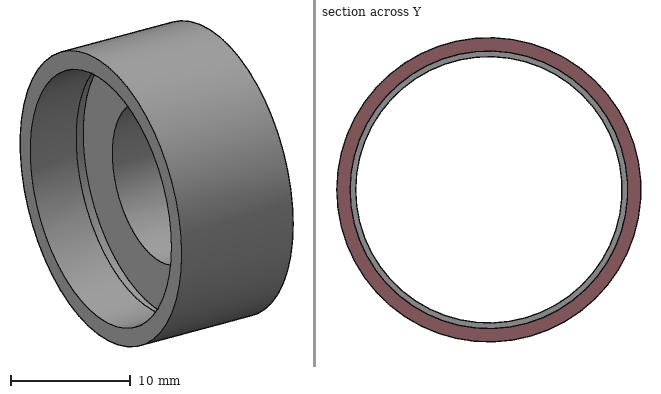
import cadquery as cq

outer_diameter = 25.4
length = 11.0
bore_diameter = 14.0
recess_diameter = 22.2
recess_depth = 5.5
groove_diameter = 23.15
groove_width = 1.0

front_face = -length / 2


def disc(diameter, start, thickness):
    """Cylinder about the Y axis, running from start towards +Y."""
    plane = cq.Workplane("XZ", origin=(0, start, 0))
    return plane.circle(diameter / 2).extrude(-thickness)


body = disc(outer_diameter, front_face, length)
bore = disc(bore_diameter, front_face, length)

recess = disc(recess_diameter, front_face, recess_depth)

groove_start = front_face + recess_depth - groove_width
groove = disc(groove_diameter, groove_start, groove_width)

result = body.cut(bore).cut(recess).cut(groove)